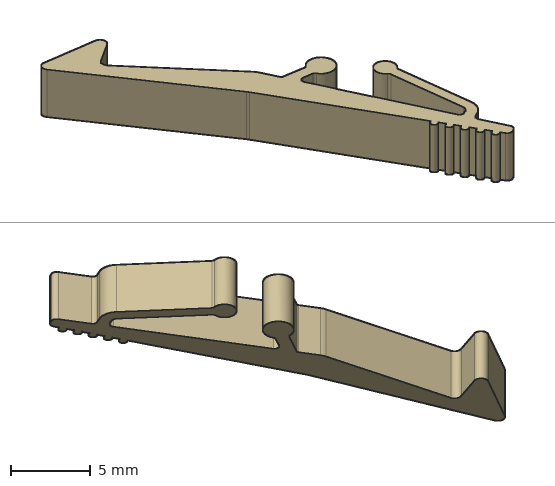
import cadquery as cq
import math

length = 30.55
thickness = 3.5

bend_x = 13.15
underside_bend_x = 13.32
bend_height = 2.45
tip_height = 0.9
hook_drop = 1.145

hook_flank_angle = 56.1
hook_peak_x = 3.12
hook_root = (3.48, 0.37)

stem_ball = (16.8, 4.35)
stem_ball_radius = 0.98
stem_width = 0.9
stem_angle = 55.0

arm_ball = (20.7, 5.3)
arm_ball_radius = 0.75
arm_width = 0.8
arm_angle = -23.8
leg_outer_x = 27.8
leg_inner_x = leg_outer_x - arm_width

ridge_count = 5
ridge_pitch = 1.0
first_ridge_x = 25.55
ridge_radius = 0.27
ridge_depth = 0.382

hook_peak_radius = 0.45
hook_root_radius = 0.45
tip_radius = 0.37
heel_radius = 0.45
bend_radius = 1.22
underside_bend_radius = 2.15
root_radius = 0.3
stem_back_radius = 0.15
neck_radius = 0.25
arm_outer_radius = 1.22
arm_inner_radius = arm_outer_radius - arm_width


def top_height(x):
    """Height of the tapered upper face between the bend and the tip."""
    return bend_height + (tip_height - bend_height) * (x - bend_x) / (length - bend_x)


def extrude_outline(points):
    return cq.Workplane("XY").polyline(points).close().extrude(thickness)


def cylinder(center, radius):
    return cq.Workplane("XY").center(*center).circle(radius).extrude(thickness)


def offset_line(center, angle, offset):
    """Slope and Y intercept of a line running at angle, offset to the left of center."""
    slope = math.tan(math.radians(angle))
    intercept = center[1] - slope * center[0] + offset / math.cos(math.radians(angle))
    return slope, intercept


def meet_upper_face(line):
    """Point where a line crosses the tapered upper face."""
    slope, intercept = line
    taper = (tip_height - bend_height) / (length - bend_x)
    x = (bend_height - taper * bend_x - intercept) / (slope - taper)
    return x, top_height(x)


def meet_circle(line, center, radius, side):
    """Point where a line leaves a circle on its left (-1) or right (+1) side."""
    slope, intercept = line
    gap = slope * center[0] + intercept - center[1]
    spread = math.sqrt(radius**2 * (1 + slope**2) - gap**2)
    x = center[0] + (-slope * gap + side * spread) / (1 + slope**2)
    return x, slope * x + intercept


def round_edge(solid, point, radius):
    """Round the upright edge nearest to an outline point."""
    target = (point[0], point[1], thickness / 2)
    return solid.edges("|Z").edges(cq.selectors.NearestToPointSelector(target)).fillet(radius)


def make_beam():
    bend_angle = math.atan2(hook_drop, underside_bend_x)
    flank_angle = math.radians(hook_flank_angle)

    half_corner = (flank_angle - bend_angle) / 2
    corner_bisector = (flank_angle + bend_angle) / 2
    heel_x = heel_radius - heel_radius * math.cos(corner_bisector) / math.sin(half_corner)
    heel = (heel_x, (heel_x - underside_bend_x) * math.tan(bend_angle))
    hook_peak = (hook_peak_x, heel[1] + (hook_peak_x - heel_x) * math.tan(flank_angle))

    tip_bottom = (length, 0)
    tip_top = (length, tip_height)
    bend_top = (bend_x, bend_height)
    tangent_length = underside_bend_radius * math.tan(bend_angle / 2)
    arc_start = (
        underside_bend_x - tangent_length * math.cos(bend_angle),
        -tangent_length * math.sin(bend_angle),
    )
    arc_end = (underside_bend_x + tangent_length, 0)
    beam = (
        cq.Workplane("XY")
        .moveTo(*heel)
        .lineTo(*arc_start)
        .tangentArcPoint(arc_end, relative=False)
        .polyline([tip_bottom, tip_top, bend_top, hook_root, hook_peak], includeCurrent=True)
        .close()
        .extrude(thickness)
    )
    for point, radius in [
        (heel, heel_radius),
        (hook_peak, hook_peak_radius),
        (hook_root, hook_root_radius),
        (bend_top, bend_radius),
        (tip_top, tip_radius),
        (tip_bottom, tip_radius),
    ]:
        beam = round_edge(beam, point, radius)
    return beam


def add_stem(body):
    back = offset_line(stem_ball, stem_angle, stem_width / 2)
    front = offset_line(stem_ball, stem_angle, -stem_width / 2)
    back_root = meet_upper_face(back)
    front_root = meet_upper_face(front)
    buried = ((back_root[0] + front_root[0]) / 2, bend_height / 2)
    back_neck = meet_circle(back, stem_ball, stem_ball_radius, -1)
    front_neck = meet_circle(front, stem_ball, stem_ball_radius, -1)
    stem = extrude_outline([back_root, buried, front_root, front_neck, stem_ball, back_neck])
    body = body.union(stem).union(cylinder(stem_ball, stem_ball_radius))
    body = round_edge(body, back_root, stem_back_radius)
    body = round_edge(body, front_root, root_radius)
    for neck in (back_neck, front_neck):
        body = round_edge(body, neck, neck_radius)
    return body


def add_arm(body):
    upper = offset_line(arm_ball, arm_angle, arm_width / 2)
    lower = offset_line(arm_ball, arm_angle, -arm_width / 2)
    outer_corner = (leg_outer_x, upper[0] * leg_outer_x + upper[1])
    inner_corner = (leg_inner_x, lower[0] * leg_inner_x + lower[1])
    outer_root = (leg_outer_x, top_height(leg_outer_x))
    inner_root = (leg_inner_x, top_height(leg_inner_x))
    buried = ((leg_inner_x + leg_outer_x) / 2, tip_height / 2)
    upper_neck = meet_circle(upper, arm_ball, arm_ball_radius, 1)
    lower_neck = meet_circle(lower, arm_ball, arm_ball_radius, 1)
    arm = extrude_outline(
        [upper_neck, arm_ball, lower_neck, inner_corner, inner_root, buried, outer_root, outer_corner]
    )
    body = body.union(arm).union(cylinder(arm_ball, arm_ball_radius))
    for point, radius in [
        (outer_corner, arm_outer_radius),
        (inner_corner, arm_inner_radius),
        (outer_root, root_radius),
        (inner_root, root_radius),
        (upper_neck, neck_radius),
        (lower_neck, neck_radius),
    ]:
        body = round_edge(body, point, radius)
    return body


def add_ridges(body):
    for index in range(ridge_count):
        center = (first_ridge_x + index * ridge_pitch, ridge_radius - ridge_depth)
        body = body.union(cylinder(center, ridge_radius))
    return body


result = add_ridges(add_arm(add_stem(make_beam())))